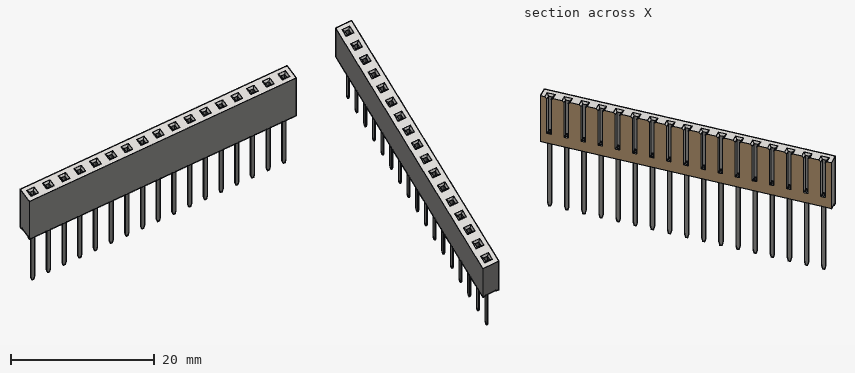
import cadquery as cq

contact_count = 17
body_length = 43.2
pitch = body_length / contact_count
body_width = pitch
body_height = 8.5
overall_height = 19.6

rail_width = 0.45
channel_width = body_width - 2 * rail_width
channel_depth = 0.2

socket_size = 0.6
socket_depth = 6.48
socket_floor = body_height - socket_depth
lead_in_depth = 0.3
lead_in_size = socket_size + 2 * lead_in_depth

pin_thickness = 0.2
pin_width = 0.6
pin_tip_width = 0.3
pin_tip_length = 0.6
pin_bottom = body_height - overall_height
pin_shoulder = pin_bottom + pin_tip_length

contact_base_width = 0.45
contact_tip_width = 0.17
contact_height = 0.45
contact_top = socket_floor + contact_height


def make_body():
    """Plain housing block with the channel cut along its underside."""
    grounded = (True, True, False)
    block = cq.Workplane("XY").box(body_width, body_length, body_height, centered=grounded)
    channel = cq.Workplane("XY").box(channel_width, body_length, channel_depth, centered=grounded)
    return block.cut(channel)


def make_socket():
    """Solid to cut away for one socket and its lead-in, centred on the Z axis."""
    lead_in_bottom = body_height - lead_in_depth
    bore = (
        cq.Workplane("XY", origin=(0, 0, socket_floor))
        .rect(socket_size, socket_size)
        .extrude(lead_in_bottom - socket_floor)
    )
    lead_in = (
        cq.Workplane("XY", origin=(0, 0, lead_in_bottom))
        .rect(socket_size, socket_size)
        .workplane(offset=lead_in_depth)
        .rect(lead_in_size, lead_in_size)
        .loft(ruled=True)
    )
    return bore.union(lead_in)


def make_pin():
    """One flat pin with tapered ends, centred on the Z axis."""
    right_side = [
        (pin_tip_width / 2, pin_bottom),
        (pin_width / 2, pin_shoulder),
        (pin_width / 2, socket_floor),
        (contact_base_width / 2, socket_floor),
        (contact_tip_width / 2, contact_top),
    ]
    left_side = [(-y, z) for y, z in reversed(right_side)]
    outline = cq.Workplane("YZ").polyline(right_side + left_side).close()
    return outline.extrude(pin_thickness / 2, both=True)


result = make_body()
socket = make_socket()
pin = make_pin()
for index in range(contact_count):
    y = (index - (contact_count - 1) / 2) * pitch
    result = result.cut(socket.translate((0, y, 0)))
    result = result.union(pin.translate((0, y, 0)))